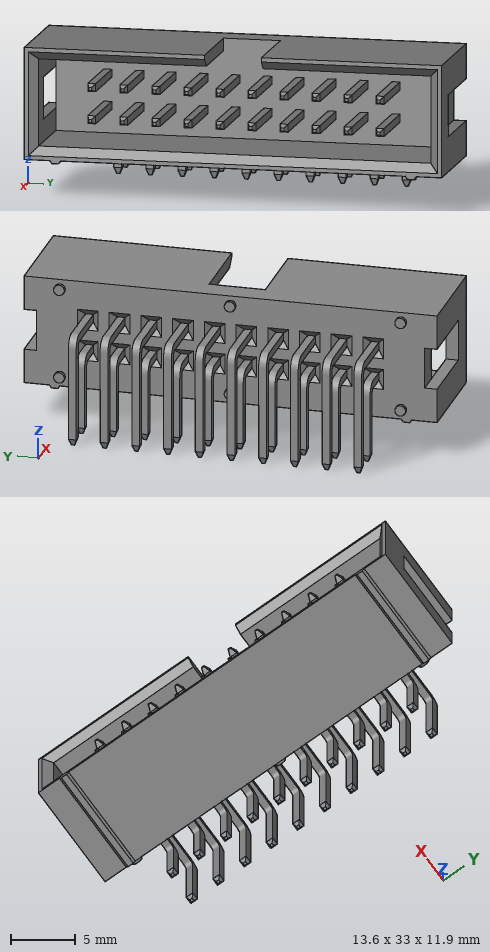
import cadquery as cq
import math


body_depth = 8.85
body_length = 33.05
body_height = 8.85
wall = 1.0
base_thickness = 2.02
mouth_chamfer = 0.65
notch_width = 4.5
end_slot_height = 3.3
end_slot_reach = 6.38

peg_diameter = 0.85
peg_height = 0.3
peg_offset_y = 13.65
peg_offset_z = 3.65
rib_offset_y = 14.1
rib_height = 0.23
rib_root_width = 0.85
rib_tip_width = 0.5

pins_per_row = 10
row_length = 22.85
pitch = row_length / (pins_per_row - 1)
pin_width = 0.63
pin_overhang = 4.7
pin_front_gap = 0.55
pins_total_height = 11.85
bend_inner_radius = 0.35
bend_outer_radius = bend_inner_radius + pin_width
tip_length = 0.53
tip_width = 0.23
pocket_width = 1.65
pocket_depth = (pocket_width - pin_width) / 2

body_top = body_height / 2
body_bottom = -body_top
cavity_depth = body_depth - base_thickness
cavity_length = body_length - 2 * wall
cavity_height = body_height - 2 * wall
pin_end_x = body_depth - pin_front_gap
pin_end_z = body_top - pins_total_height
pin_rows = [(pitch / 2, -pin_overhang), (-pitch / 2, -pin_overhang + pitch)]
pin_places_y = [i * pitch - row_length / 2 for i in range(pins_per_row)]


def make_housing():
    """Block with a chamfered cavity opening toward +X."""
    housing = cq.Workplane("XY").box(body_depth, body_length, body_height)
    housing = housing.translate((body_depth / 2, 0, 0))
    cavity = cq.Workplane("YZ", origin=(base_thickness, 0, 0))
    cavity = cavity.rect(cavity_length, cavity_height).extrude(cavity_depth)
    mouth = (
        cq.Workplane("YZ", origin=(body_depth - mouth_chamfer, 0, 0))
        .rect(cavity_length, cavity_height)
        .workplane(offset=mouth_chamfer)
        .rect(cavity_length + 2 * mouth_chamfer, cavity_height + 2 * mouth_chamfer)
        .loft(ruled=True)
    )
    return housing.cut(cavity).cut(mouth)


def make_notch():
    """Polarising notch through the top wall, open toward +X."""
    notch = cq.Workplane("XY").box(cavity_depth, notch_width, wall)
    return notch.translate((base_thickness + cavity_depth / 2, 0, body_top - wall / 2))


def make_end_slot(side):
    """Slot through one end wall, running out at the pin side."""
    slot = cq.Workplane("XY").box(end_slot_reach, wall, end_slot_height)
    return slot.translate((end_slot_reach / 2, side * (body_length - wall) / 2, 0))


def make_pegs():
    """Stand-off pegs on the pin side."""
    places = [(y, z) for y in (-peg_offset_y, 0, peg_offset_y) for z in (-peg_offset_z, peg_offset_z)]
    return cq.Workplane("YZ").pushPoints(places).circle(peg_diameter / 2).extrude(-peg_height)


def make_rib(side):
    """Tapered rib along X under the bottom face."""
    rib = (
        cq.Workplane("YZ")
        .moveTo(-rib_root_width / 2, 0)
        .lineTo(rib_root_width / 2, 0)
        .lineTo(rib_tip_width / 2, -rib_height)
        .lineTo(-rib_tip_width / 2, -rib_height)
        .close()
        .extrude(body_depth)
    )
    return rib.translate((0, side * rib_offset_y, body_bottom))


def make_pocket(row_z):
    """Pyramidal recess that narrows to the pin section inside the base."""
    return (
        cq.Workplane("YZ", origin=(0, 0, row_z))
        .rect(pocket_width, pocket_width)
        .workplane(offset=pocket_depth)
        .rect(pin_width, pin_width)
        .loft(ruled=True)
    )


def make_tip(plane, length):
    """Four-sided taper from the pin section to the blunt tip."""
    tip = plane.rect(pin_width, pin_width).workplane(offset=length)
    return tip.rect(tip_width, tip_width).loft(ruled=True)


def make_pin(row_z, outer_x):
    """Square pin bent down through 90 degrees, tapered at both ends."""
    top_z = row_z + pin_width / 2
    low_z = row_z - pin_width / 2
    inner_x = outer_x + pin_width
    bend_center = (outer_x + bend_outer_radius, top_z - bend_outer_radius)
    diagonal = math.cos(math.pi / 4)
    outer_mid = (bend_center[0] - bend_outer_radius * diagonal, bend_center[1] + bend_outer_radius * diagonal)
    inner_mid = (bend_center[0] - bend_inner_radius * diagonal, bend_center[1] + bend_inner_radius * diagonal)
    shank_end_x = pin_end_x - tip_length
    shank_end_z = pin_end_z + tip_length
    shank = (
        cq.Workplane("XZ")
        .moveTo(outer_x, shank_end_z)
        .lineTo(outer_x, bend_center[1])
        .threePointArc(outer_mid, (bend_center[0], top_z))
        .lineTo(shank_end_x, top_z)
        .lineTo(shank_end_x, low_z)
        .lineTo(bend_center[0], low_z)
        .threePointArc(inner_mid, (inner_x, bend_center[1]))
        .lineTo(inner_x, shank_end_z)
        .close()
        .extrude(pin_width / 2, both=True)
    )
    mating_tip = make_tip(cq.Workplane("YZ", origin=(shank_end_x, 0, row_z)), tip_length)
    board_tip = make_tip(cq.Workplane("XY", origin=(outer_x + pin_width / 2, 0, shank_end_z)), -tip_length)
    return shank.union(mating_tip).union(board_tip)


result = make_housing().cut(make_notch()).union(make_pegs())
for side in (-1, 1):
    result = result.cut(make_end_slot(side)).union(make_rib(side))

for row_z, outer_x in pin_rows:
    pocket = make_pocket(row_z)
    pin = make_pin(row_z, outer_x)
    for y in pin_places_y:
        result = result.cut(pocket.translate((0, y, 0))).union(pin.translate((0, y, 0)))